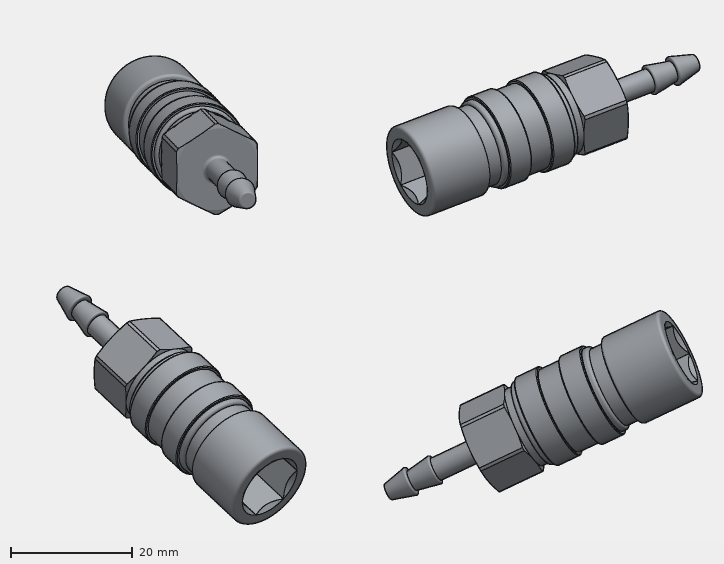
import cadquery as cq
import math

total_length = 54.8

head_end = 10.95
sleeve_start = 13.4
front_band_start = 14.5
front_band_end = 18.7
rear_band_start = 22.7
rear_band_end = 26.95
sleeve_end = 28.0

head_diameter = 15.8
neck_diameter = 14.0
sleeve_diameter = 15.1
band_diameter = 16.15

edge_radius = 0.55
band_chamfer = 0.15

nut_start = 29.25
nut_end = 37.75
nut_across_flats = 13.95
nut_corner_diameter = head_diameter
nut_chamfer_length = 0.2
nut_chamfer_height = 0.8

tail_diameter = 4.05
tail_root_radius = 0.55
barb_diameter = 5.2
barb_edge_radius = 0.3
front_barb_start = 45.75
rear_barb_start = 50.25
front_barb_end_diameter = 3.6
tip_diameter = 2.85
tip_radius = 0.35

socket_across_flats = 9.95
socket_depth = 10.95
socket_mouth_angle = 45.0


def disc(start, end, diameter):
    """Cylinder around the X axis between two positions."""
    return cq.Workplane("YZ", origin=(start, 0, 0)).circle(diameter / 2).extrude(end - start)


def cone(start, end, start_diameter, end_diameter):
    """Truncated cone around the X axis between two positions."""
    profile = [(start, 0), (start, start_diameter / 2), (end, end_diameter / 2)]
    if end_diameter > 0:
        profile.append((end, 0))
    return cq.Workplane("XY").polyline(profile).close().revolve(360, (0, 0, 0), (1, 0, 0))


def hexagon(start, end, across_flats, corner_on_y):
    """Hexagonal prism along X with corners on the Y axis or on the Z axis."""
    corner_radius = across_flats / math.sqrt(3)
    first_angle = 0 if corner_on_y else 30
    angles = [math.radians(first_angle + 60 * i) for i in range(6)]
    corners = [(corner_radius * math.cos(a), corner_radius * math.sin(a)) for a in angles]
    return cq.Workplane("YZ", origin=(start, 0, 0)).polyline(corners).close().extrude(end - start)


def make_body():
    head = disc(0, head_end, head_diameter).edges().fillet(edge_radius)
    neck = disc(head_end - edge_radius, nut_start, neck_diameter)
    sleeve = disc(sleeve_start, sleeve_end, sleeve_diameter).edges().fillet(edge_radius)
    body = head.union(neck).union(sleeve)
    for start, end in ((front_band_start, front_band_end), (rear_band_start, rear_band_end)):
        body = body.union(disc(start, end, band_diameter).edges("<X or >X").chamfer(band_chamfer))
    return body


def make_nut():
    turned = disc(nut_start, nut_end, nut_corner_diameter)
    turned = turned.faces("<X or >X").edges().chamfer(nut_chamfer_length, nut_chamfer_height)
    return hexagon(nut_start, nut_end, nut_across_flats, False).intersect(turned)


def make_barb(start, end, end_diameter):
    return cone(start, end, barb_diameter, end_diameter).edges("<X").fillet(barb_edge_radius)


def make_root_fillet():
    """Concave round from the end face of the nut to the stem."""
    stem_radius = tail_diameter / 2
    round_end = nut_end + tail_root_radius
    arc_middle = tail_root_radius * (1 - math.sqrt(0.5))
    profile = (
        cq.Workplane("XY")
        .moveTo(nut_end, 0)
        .lineTo(nut_end, stem_radius + tail_root_radius)
        .threePointArc((nut_end + arc_middle, stem_radius + arc_middle), (round_end, stem_radius))
        .lineTo(round_end, 0)
        .close()
    )
    return profile.revolve(360, (0, 0, 0), (1, 0, 0))


def make_tail():
    stem = disc(nut_end, front_barb_start + barb_edge_radius, tail_diameter)
    front_barb = make_barb(front_barb_start, rear_barb_start, front_barb_end_diameter)
    rear_barb = make_barb(rear_barb_start, total_length, tip_diameter)
    rear_barb = rear_barb.faces(">X").edges().fillet(tip_radius)
    return stem.union(make_root_fillet()).union(front_barb).union(rear_barb)


def make_socket():
    """Hexagon with a conical lead-in that just reaches its corners."""
    mouth_diameter = 2 * socket_across_flats / math.sqrt(3)
    mouth_depth = mouth_diameter / 2 / math.tan(math.radians(socket_mouth_angle))
    mouth = cone(0, mouth_depth, mouth_diameter, 0)
    return hexagon(0, socket_depth, socket_across_flats, True).union(mouth)


result = make_body().union(make_nut()).union(make_tail()).cut(make_socket())